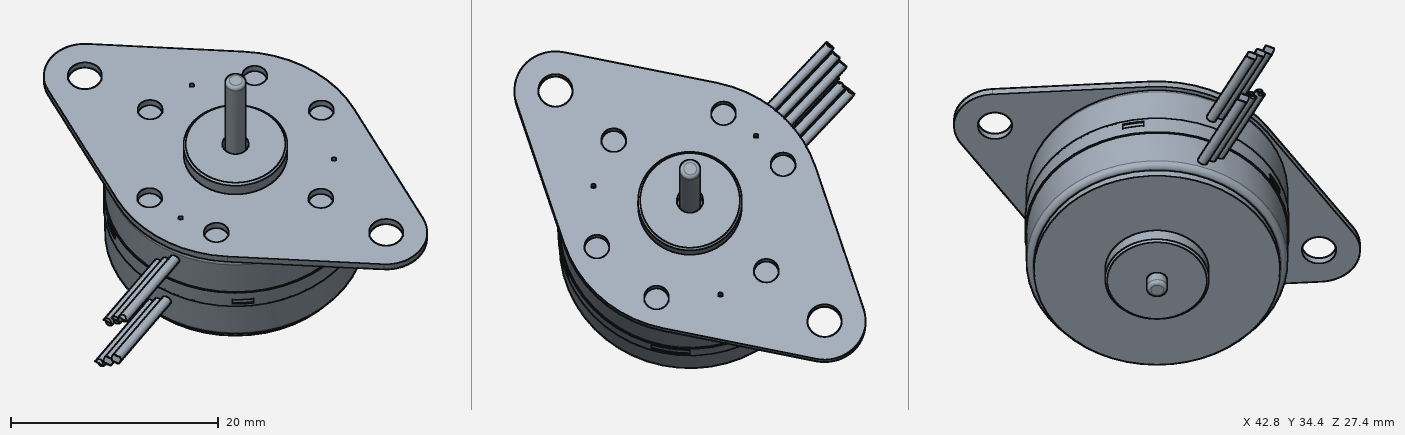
import cadquery as cq
import math


flange_length = 42.8
flange_width = 25.45
flange_thickness = 0.8
mount_hole_spacing = 34.9
mount_hole_diameter = 3.3

pocket_diameter = 2.4
pocket_circle_radius = 9.9
pocket_angles = (0, 67, 113, 180, 247, 293)
pin_hole_diameter = 0.43
pin_circle_radius = 9.5
pin_angles = (30, 150, 270)

body_diameter = 25.18
body_height = 11.55
body_edge_radius = 0.6
band_diameter = flange_width
band_height = 2.05
band_mid_z = -body_height / 2

window_height = 0.65
window_depth = (band_diameter - body_diameter) / 2
front_window_angle = 37.0
front_window_sweep = 9.4
rear_window_angle = 33.5
rear_window_sweep = 17.0

end_plate_diameter = 23.72
end_plate_thickness = flange_thickness
boss_diameter = 10.0
boss_height = 1.55
boss_chamfer = 0.2
bearing_bore_diameter = 2.53

shaft_diameter = 2.0
shaft_length = 27.45
shaft_top_z = 12.1
shaft_end_radius = 0.4

wire_diameter = 1.0
wire_pitch = 0.9
wire_row_offset_x = wire_pitch / 2
wire_row_offset_z = 3.43
wire_reach = 21.35
wire_root_depth = 0.85
wire_root_y = -body_diameter / 2 + wire_root_depth
deep_jag = 0.3
mild_jag = 0.15
upper_prong_corner = 0.4
lower_prong_corner = 0.7
upper_row_jags = (mild_jag, mild_jag, deep_jag)
lower_row_jags = (deep_jag, -mild_jag, -mild_jag)


def disc(diameter, bottom_z, height):
    return cq.Workplane("XY").workplane(offset=bottom_z).circle(diameter / 2).extrude(height)


def polar_points(radius, angles):
    return [
        (radius * math.cos(math.radians(angle)), radius * math.sin(math.radians(angle)))
        for angle in angles
    ]


def make_flange():
    """Diamond plate: a large middle arc and two small end arcs joined by tangent lines."""
    middle_radius = flange_width / 2
    hole_x = mount_hole_spacing / 2
    end_radius = flange_length / 2 - hole_x
    tangent_sin = (middle_radius - end_radius) / hole_x
    tangent_cos = math.sqrt(1 - tangent_sin**2)
    middle_x = middle_radius * tangent_sin
    middle_y = middle_radius * tangent_cos
    end_x = hole_x + end_radius * tangent_sin
    end_y = end_radius * tangent_cos
    plate = (
        cq.Workplane("XY")
        .moveTo(-middle_x, middle_y)
        .threePointArc((0, middle_radius), (middle_x, middle_y))
        .lineTo(end_x, end_y)
        .threePointArc((flange_length / 2, 0), (end_x, -end_y))
        .lineTo(middle_x, -middle_y)
        .threePointArc((0, -middle_radius), (-middle_x, -middle_y))
        .lineTo(-end_x, -end_y)
        .threePointArc((-flange_length / 2, 0), (-end_x, end_y))
        .close()
        .extrude(flange_thickness)
    )
    hole_groups = (
        (mount_hole_diameter, [(-hole_x, 0), (hole_x, 0)]),
        (pocket_diameter, polar_points(pocket_circle_radius, pocket_angles)),
        (pin_hole_diameter, polar_points(pin_circle_radius, pin_angles)),
    )
    for diameter, points in hole_groups:
        holes = cq.Workplane("XY").pushPoints(points).circle(diameter / 2).extrude(flange_thickness)
        plate = plate.cut(holes)
    return plate


def make_window(center_angle, sweep, bottom_z, height):
    """Ring sector that cuts one window into the outside of the band."""
    inner_radius = band_diameter / 2 - window_depth
    outer_radius = band_diameter / 2 + window_depth
    angles = (center_angle - sweep / 2, center_angle, center_angle + sweep / 2)
    inner_points = polar_points(inner_radius, angles)
    outer_points = polar_points(outer_radius, angles)
    return (
        cq.Workplane("XY")
        .workplane(offset=bottom_z)
        .moveTo(*inner_points[0])
        .lineTo(*outer_points[0])
        .threePointArc(outer_points[1], outer_points[2])
        .lineTo(*inner_points[2])
        .threePointArc(inner_points[1], inner_points[0])
        .close()
        .extrude(height)
    )


def make_body():
    body = disc(body_diameter, -body_height, body_height)
    body = body.faces("<Z or >Z").edges().fillet(body_edge_radius)
    body = body.union(disc(band_diameter, band_mid_z - band_height / 2, band_height))
    windows = (
        (270 - front_window_angle, front_window_sweep, band_mid_z, window_height),
        (270 + front_window_angle, front_window_sweep, band_mid_z - window_height, window_height),
        (90 + rear_window_angle, rear_window_sweep, band_mid_z - window_height, 2 * window_height),
        (90 - rear_window_angle, rear_window_sweep, band_mid_z - window_height, 2 * window_height),
    )
    for window in windows:
        body = body.cut(make_window(*window))
    return body


def make_top_boss():
    boss = disc(boss_diameter, flange_thickness, boss_height).faces(">Z").edges().chamfer(boss_chamfer)
    return boss.cut(disc(bearing_bore_diameter, flange_thickness, boss_height))


def make_bottom_end():
    plate_bottom_z = -body_height - end_plate_thickness
    plate = disc(end_plate_diameter, plate_bottom_z, end_plate_thickness)
    boss = disc(boss_diameter, plate_bottom_z - boss_height, boss_height)
    return plate.union(boss.faces("<Z").edges().chamfer(boss_chamfer))


def make_shaft():
    shaft = disc(shaft_diameter, shaft_top_z - shaft_length, shaft_length)
    return shaft.faces("<Z or >Z").edges().fillet(shaft_end_radius)


def make_wire(x, z, jag):
    """Round wire along -Y, trimmed by a zigzag profile that leaves a longer and a shorter prong."""
    radius = wire_diameter / 2
    corner_z = radius * (upper_prong_corner if jag > 0 else lower_prong_corner)
    longest = wire_reach + abs(jag)
    wire = (
        cq.Workplane("XZ", origin=(x, wire_root_y, z)).circle(radius).extrude(longest + wire_root_y)
    )
    trim = (
        cq.Workplane("YZ", origin=(x, 0, z))
        .moveTo(wire_root_y, radius)
        .lineTo(-wire_reach, radius)
        .lineTo(-wire_reach - jag, corner_z)
        .lineTo(-wire_reach + jag, -corner_z)
        .lineTo(-wire_reach, -radius)
        .lineTo(wire_root_y, -radius)
        .close()
        .extrude(radius, both=True)
    )
    return wire.intersect(trim)


def make_wires():
    wires = []
    rows = (
        (wire_row_offset_x, wire_row_offset_z, upper_row_jags),
        (-wire_row_offset_x, -wire_row_offset_z, lower_row_jags),
    )
    for row_x, row_z, jags in rows:
        for position, jag in zip((-1, 0, 1), jags):
            step = position * wire_pitch
            wires.append(make_wire(row_x + step, band_mid_z + row_z + step, jag))
    return wires


result = make_body().union(make_flange()).union(make_top_boss()).union(make_bottom_end())
result = result.union(make_shaft())
for wire in make_wires():
    result = result.union(wire)